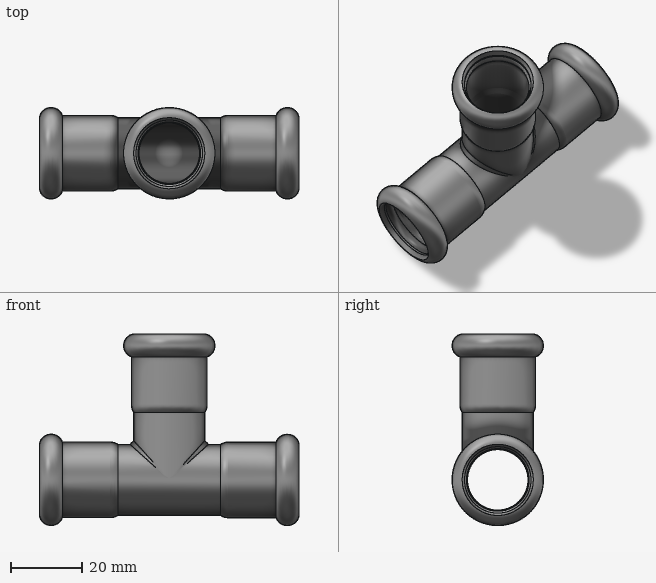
import cadquery as cq
import math

run_half_length = 36.5
branch_length = 41.0

tube_radius = 20.0 / 2
bore_radius = 17.0 / 2
crease_bevel = 1.0

socket_radius = 21.3 / 2
socket_bore_radius = 18.3 / 2
neck_start = 19.9
neck_end = 22.05
bead_radius = 25.7 / 2
bead_section_radius = 3.35

mouth_radius = 20.0 / 2
seat_radius = 18.7 / 2
seal_radius = 17.6 / 2
seat_start = 1.4
seal_start = 2.0
seal_end = 4.6
seat_end = 5.55

bead_center_radius = bead_radius - bead_section_radius
bead_center_depth = math.sqrt(bead_section_radius**2 - (mouth_radius - bead_center_radius) ** 2)
bead_end = bead_center_depth + math.sqrt(
    bead_section_radius**2 - (socket_radius - bead_center_radius) ** 2
)


def revolve_branch(profile, end_height):
    """Revolve a (radius, depth) profile about Z, with depth zero at the given height."""
    solid = profile.close().revolve(360, (0, 0, 0), (0, 1, 0))
    return solid.rotate((0, 0, 0), (1, 0, 0), -90).translate((0, 0, end_height))


def outer_branch(length):
    """Solid outside of one arm, from the tee centre to the beaded end."""
    neck_drop = socket_radius - tube_radius
    profile = (
        cq.Workplane("XY")
        .moveTo(0, 0)
        .lineTo(mouth_radius, 0)
        .threePointArc((bead_radius, bead_center_depth), (socket_radius, bead_end))
        .lineTo(socket_radius, neck_start)
        .tangentArcPoint((-neck_drop, neck_end - neck_start))
        .lineTo(tube_radius, length)
        .lineTo(0, length)
    )
    return revolve_branch(profile, length)


def inner_branch(length):
    """Cavity of one arm: mouth taper, seal, socket bore and tube bore."""
    seal_middle = (seal_start + seal_end) / 2
    profile = (
        cq.Workplane("XY")
        .moveTo(0, 0)
        .lineTo(mouth_radius, 0)
        .lineTo(seat_radius, seat_start)
        .lineTo(seat_radius, seal_start)
        .threePointArc((seal_radius, seal_middle), (seat_radius, seal_end))
        .lineTo(seat_radius, seat_end)
        .lineTo(socket_bore_radius, bead_end)
        .lineTo(socket_bore_radius, neck_start)
        .lineTo(bore_radius, neck_end)
        .lineTo(bore_radius, length)
        .lineTo(0, length)
    )
    return revolve_branch(profile, length)


def join_arms(make_arm):
    """Place an arm on +Z, +X and -X and unite the three."""
    run_arm = make_arm(run_half_length)
    arms = make_arm(branch_length)
    for angle in (90, -90):
        arms = arms.union(run_arm.rotate((0, 0, 0), (0, 1, 0), angle))
    return arms


def crease_filler():
    """Bevel in the +X crease between run and branch, tapering to nothing at the sides."""
    reach = tube_radius + crease_bevel
    rise = (tube_radius + reach) / math.sqrt(2)
    bevel_plane = cq.Plane(origin=(-reach, 0, reach), xDir=(1, 0, 1), normal=(1, 0, -1))
    bevel = cq.Workplane(bevel_plane).ellipse(rise, tube_radius).extrude(2 * reach * math.sqrt(2))
    wedge = (
        cq.Workplane("XZ")
        .polyline([(0, 0), (2 * tube_radius, 2 * reach), (2 * reach, 2 * tube_radius)])
        .close()
        .extrude(tube_radius, both=True)
    )
    return bevel.intersect(wedge)


filler = crease_filler()
outside = join_arms(outer_branch).union(filler).union(filler.mirror("YZ"))
result = outside.cut(join_arms(inner_branch))